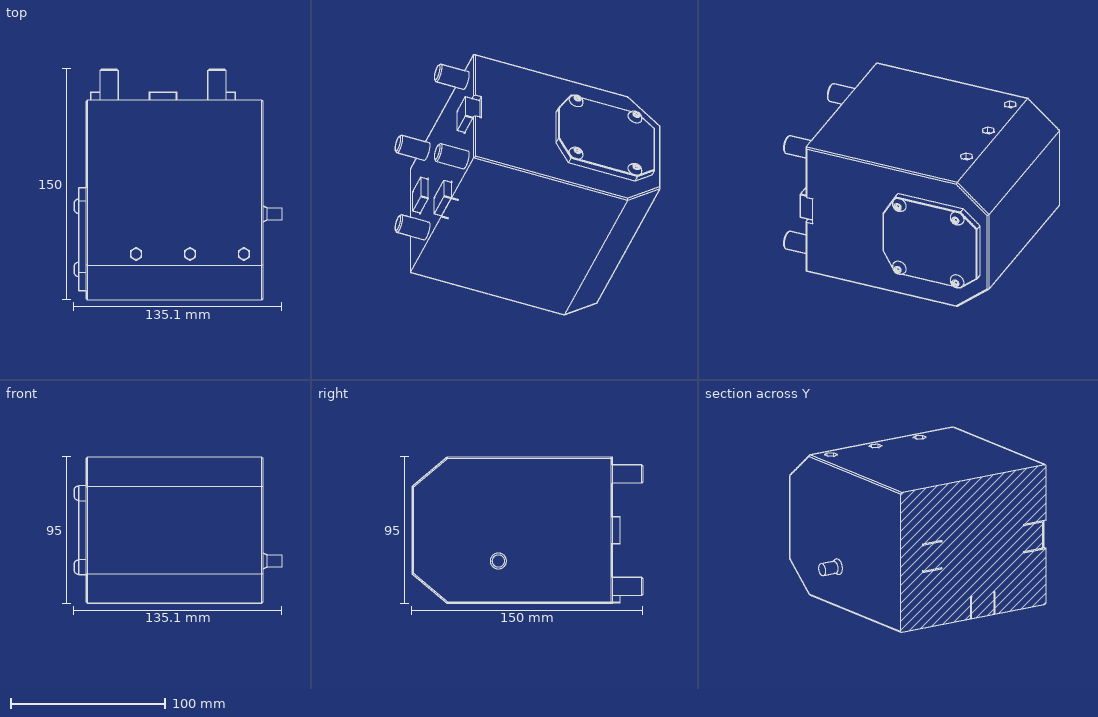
import cadquery as cq
import math


body_width = 115.0
body_length = 130.0
body_height = 95.0
nose_height = 57.0
slope_angle = math.radians(40.0)
body_chamfer = 1.0

mount_x = -7.5
pin_pitch_x = 70.0
pin_pitch_z = 73.0
pin_diameter = 12.0
pin_length = 20.0
pin_chamfer = 1.0

key_width = 18.0
key_length = 15.0
key_protrusion = 5.0
key_depth = 5.0
key_reach = 47.2
key_chamfer = 0.5
slot_clearance = 0.5

plate_thickness = 5.0
plate_length = 67.0
plate_height = 58.0
plate_front_gap = 6.0
plate_rear_corner = 15.0
plate_front_corner = 10.0
plate_rear_angle = math.radians(60.0)
plate_chamfer = 0.5

screw_pitch_y = 41.0
screw_pitch_z = 48.0
screw_front_distance = 20.0
head_diameter = 9.5
head_top_diameter = 4.8
head_height = 2.75
dome_bulge_inset = 0.3
dome_bulge_height = 0.6
head_socket_flats = 3.0
head_socket_depth = 1.3

socket_xs = (-25.0, 10.0, 45.0)
socket_y = -100.0
socket_flats = 7.3
socket_depth = 4.0

floor_cone_ratio = 0.95
floor_cone_angle = math.radians(30.0)

stub_y = -74.0
stub_z = -20.0
stub_length = 12.34
stub_diameter = 8.0
stub_root_diameter = 10.4
stub_taper_length = 2.6

left_face = -body_width / 2
right_face = body_width / 2
top_face = body_height / 2


def make_body():
    """Block with two sloped faces towards the nose and its end-face rims chamfered."""
    half_nose = nose_height / 2
    slope_run = (top_face - half_nose) / math.tan(slope_angle)
    slope_start = -body_length + slope_run
    outline = [
        (0, top_face),
        (slope_start, top_face),
        (-body_length, half_nose),
        (-body_length, -half_nose),
        (slope_start, -top_face),
        (0, -top_face),
    ]
    block = cq.Workplane("YZ", origin=(left_face, 0, 0)).polyline(outline).close().extrude(body_width)
    return block.faces("<X or >X").edges().chamfer(body_chamfer)


def make_plate():
    """Eight-sided cover plate standing on the -X face."""
    front = -body_length + plate_front_gap
    rear = front + plate_length
    half_height = plate_height / 2
    rear_run = plate_rear_corner / math.tan(plate_rear_angle)
    front_run = plate_front_corner / math.tan(slope_angle)
    upper = [
        (rear, half_height - plate_rear_corner),
        (rear - rear_run, half_height),
        (front + front_run, half_height),
        (front, half_height - plate_front_corner),
    ]
    lower = [(y, -z) for y, z in reversed(upper)]
    outline = cq.Workplane("YZ", origin=(left_face, 0, 0)).polyline(upper + lower).close()
    plate = outline.extrude(-plate_thickness)
    return plate.faces("<X").edges().chamfer(plate_chamfer)


def make_hexagon_cutter(flats, depth):
    """Cutter sinking from Z = 0: a hexagon with corners along Y and a conical floor."""
    across_corners = flats / math.cos(math.radians(30.0))
    cone_radius = floor_cone_ratio * flats / 2
    cone_depth = cone_radius * math.tan(floor_cone_angle)
    hexagon = cq.Workplane("XY").polygon(6, across_corners).extrude(-depth).rotate((0, 0, 0), (0, 0, 1), 30)
    cone = cq.Solid.makeCone(cone_radius, 0, cone_depth, cq.Vector(0, 0, -depth), cq.Vector(0, 0, -1))
    return hexagon.union(cq.Workplane(cone))


def make_screw_head(y, z):
    """Domed screw head with a hexagon socket, facing -X."""
    base_radius = head_diameter / 2
    top_radius = head_top_diameter / 2
    bulge_radius = base_radius - dome_bulge_inset * (base_radius - top_radius)
    bulge_height = dome_bulge_height * head_height
    profile = (
        cq.Workplane("XZ")
        .lineTo(base_radius, 0)
        .threePointArc((bulge_radius, bulge_height), (top_radius, head_height))
        .lineTo(0, head_height)
        .close()
    )
    dome = profile.revolve(360, (0, 0), (0, 1))
    socket = make_hexagon_cutter(head_socket_flats, head_socket_depth).translate((0, 0, head_height))
    head = dome.cut(socket).rotate((0, 0, 0), (0, 1, 0), -90)
    return head.translate((left_face - plate_thickness, y, z))


def make_top_socket(x):
    """Cutter for a hexagon socket in the top face."""
    return make_hexagon_cutter(socket_flats, socket_depth).translate((x, socket_y, top_face))


def make_pin(x, z):
    """Cylindrical pin standing on the rear face, with a chamfered tip."""
    pin = cq.Workplane("XZ", origin=(x, 0, z)).circle(pin_diameter / 2).extrude(-pin_length)
    return pin.faces(">Y").edges().chamfer(pin_chamfer)


def place_radially(shape, angle):
    """Turn a shape lying along +X about the mounting centre."""
    return shape.rotate((0, 0, 0), (0, 1, 0), angle).translate((mount_x, 0, 0))


def make_key(angle):
    """Key pointing away from the mounting centre, partly sunk in the rear face."""
    key = cq.Workplane("XY").box(key_length, key_depth + key_protrusion, key_width)
    key = key.edges("|Y").chamfer(key_chamfer)
    middle_y = (key_protrusion - key_depth) / 2
    return place_radially(key.translate((key_reach - key_length / 2, middle_y, 0)), angle)


def make_key_slot(angle, outer_end):
    """Cutter for a key slot that runs from the inner end of the key to outer_end."""
    inner_end = key_reach - key_length
    length = outer_end - inner_end
    slot = cq.Workplane("XY").box(length, key_depth, key_width + 2 * slot_clearance)
    return place_radially(slot.translate((inner_end + length / 2, -key_depth / 2, 0)), angle)


def make_stub():
    """Round stub with a conical root on the +X face."""
    radius = stub_diameter / 2
    root_radius = stub_root_diameter / 2
    profile = [
        (0, 0),
        (0, root_radius),
        (stub_taper_length, radius),
        (stub_length, radius),
        (stub_length, 0),
    ]
    stub = cq.Workplane("XY").polyline(profile).close().revolve(360, (0, 0), (1, 0))
    return stub.translate((right_face, stub_y, stub_z))


right_key, down_key, left_key = 0, 90, 180
key_slot_ends = {
    right_key: key_reach,
    down_key: key_reach,
    left_key: mount_x - left_face,
}
front_screw_y = -body_length + screw_front_distance
sides = (-1, 1)

result = make_body().union(make_plate()).union(make_stub())

for key_angle, slot_end in key_slot_ends.items():
    result = result.cut(make_key_slot(key_angle, slot_end)).union(make_key(key_angle))

for side_x in sides:
    for side_z in sides:
        result = result.union(make_pin(mount_x + side_x * pin_pitch_x / 2, side_z * pin_pitch_z / 2))

for screw_y in (front_screw_y, front_screw_y + screw_pitch_y):
    for side_z in sides:
        result = result.union(make_screw_head(screw_y, side_z * screw_pitch_z / 2))

for socket_x in socket_xs:
    result = result.cut(make_top_socket(socket_x))